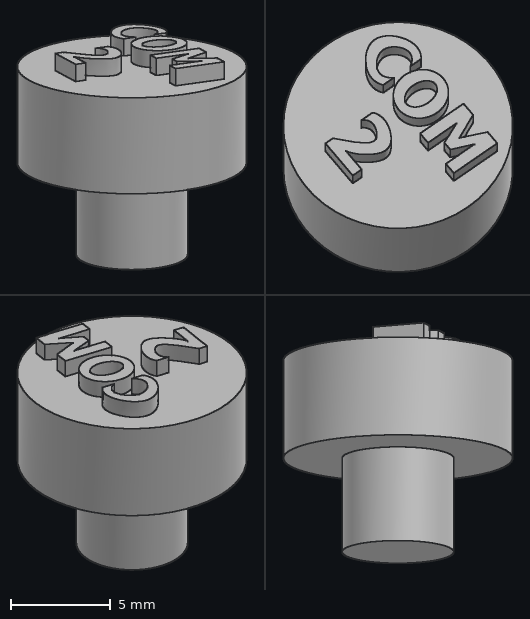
import cadquery as cq

head_diameter = 11.5
head_height = 5.0
stem_diameter = 5.6
stem_height = 4.8
relief_height = 0.9
head_top = stem_height + head_height

round_center_y = 1.7
round_half_height = 1.41
round_inner_half_height = 0.91

c_outer_left = -4.15
c_inner_left = -3.44
c_apex_x = -2.73
c_tip_x = -1.89
c_outer_tip_rise = 1.2
c_inner_tip_rise = 0.52

o_center_x = -0.35
o_half_width = 1.32
o_inner_half_width = 0.61

m_center_x = 2.77
m_half_width = 1.39
m_bottom = 0.33
m_top = 3.07
m_leg_width = 0.65
m_shoulder_half_width = 0.6
m_valley_y = 1.75
m_crotch_y = 2.14
m_point_half_width = 0.24
m_point_y = 0.99

two_left = -1.06
two_right = 1.2
two_bottom = -3.77
two_foot_top = -3.21
two_tip_x = -0.99
two_outer_tip_y = -0.85
two_inner_tip_y = -1.55
two_outer_curve = [(-0.03, -0.65), (1.07, -1.5), (0.74, -2.44), (-0.1, two_foot_top)]
two_inner_curve = [(0.01, -2.31), (0.3, -1.69), (-0.24, -1.25), (two_tip_x, two_inner_tip_y)]
two_diagonal_start_y = -3.3


def top_plane():
    return cq.Workplane("XY").workplane(offset=head_top)


def letter_c():
    """C, mirror-symmetric about its horizontal center line."""
    mid = round_center_y
    outer_curve = [
        (c_apex_x, mid + round_half_height),
        (c_outer_left, mid),
        (c_apex_x, mid - round_half_height),
        (c_tip_x, mid - c_outer_tip_rise),
    ]
    inner_curve = [
        (c_apex_x, mid - round_inner_half_height),
        (c_inner_left, mid),
        (c_apex_x, mid + round_inner_half_height),
        (c_tip_x, mid + c_inner_tip_rise),
    ]
    return (
        top_plane()
        .moveTo(c_tip_x, mid + c_outer_tip_rise)
        .spline(outer_curve, includeCurrent=True)
        .lineTo(c_tip_x, mid - c_inner_tip_rise)
        .spline(inner_curve, includeCurrent=True)
        .close()
        .extrude(relief_height)
    )


def letter_o():
    """O, the space between two upright ellipses."""
    return (
        top_plane()
        .center(o_center_x, round_center_y)
        .ellipse(round_half_height, o_half_width, rotation_angle=90)
        .ellipse(round_inner_half_height, o_inner_half_width, rotation_angle=90)
        .extrude(relief_height)
    )


def letter_m():
    """M, built from its right half and the mirror image of that half."""
    leg_inside = m_half_width - m_leg_width
    right_half = [
        (0, m_valley_y),
        (m_shoulder_half_width, m_top),
        (m_half_width, m_top),
        (m_half_width, m_bottom),
        (leg_inside, m_bottom),
        (leg_inside, m_crotch_y),
        (m_point_half_width, m_point_y),
    ]
    left_half = [(-x, y) for x, y in reversed(right_half[1:])]
    return (
        top_plane()
        .center(m_center_x, 0)
        .polyline(right_half + left_half)
        .close()
        .extrude(relief_height)
    )


def digit_two():
    return (
        top_plane()
        .moveTo(two_tip_x, two_outer_tip_y)
        .spline(two_outer_curve, includeCurrent=True)
        .lineTo(two_right, two_foot_top)
        .lineTo(two_right, two_bottom)
        .lineTo(two_left, two_bottom)
        .lineTo(two_left, two_diagonal_start_y)
        .spline(two_inner_curve, includeCurrent=True)
        .close()
        .extrude(relief_height)
    )


stem = cq.Workplane("XY").circle(stem_diameter / 2).extrude(stem_height)
head = (
    cq.Workplane("XY")
    .workplane(offset=stem_height)
    .circle(head_diameter / 2)
    .extrude(head_height)
)

result = stem.union(head)
for character in (letter_c(), letter_o(), letter_m(), digit_two()):
    result = result.union(character)